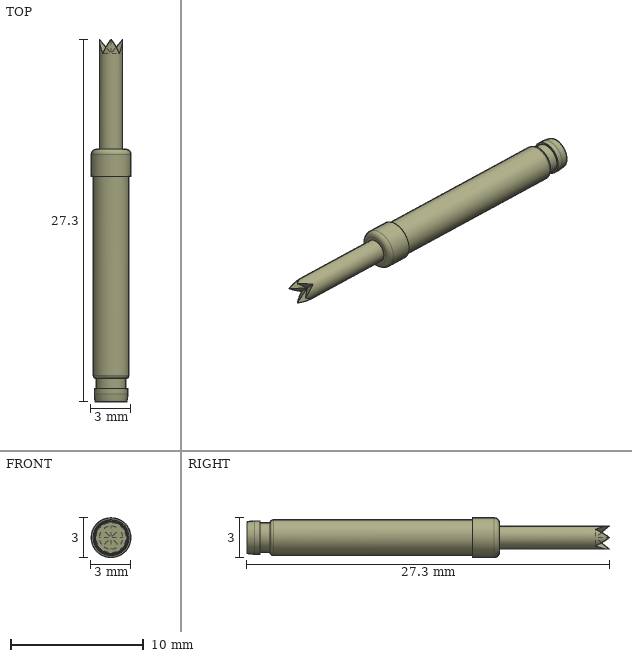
import cadquery as cq
import math

total_length = 27.3
collar_length = 2.05
plunger_length = 8.27
tail_length = 1.0
neck_length = 0.75
barrel_round_length = 0.25
tail_round_length = 0.58

plunger_diameter = 1.75
collar_diameter = 3.0
barrel_diameter = 2.7
barrel_end_diameter = 2.3
neck_diameter = 2.25
tail_diameter = 2.53
tail_end_diameter = 2.38

collar_round = 0.4
crown_groove_angle = 61.0
groove_direction = 45.0

barrel_length = total_length - plunger_length - collar_length - neck_length - tail_length


def disc(diameter, start_y, length):
    """Round bar on the Y axis running from start_y towards +Y."""
    return cq.Workplane("XZ", origin=(0, start_y, 0)).circle(diameter / 2).extrude(-length)


def rounded_bar(diameter, end_diameter, round_length, end_y, length):
    """Round bar whose -Y end is curved by an arc that leaves the straight side tangentially."""
    profile = (
        cq.Workplane("XY", origin=(0, end_y, 0))
        .lineTo(0, length)
        .lineTo(diameter / 2, length)
        .lineTo(diameter / 2, round_length)
        .tangentArcPoint((end_diameter / 2, 0), relative=False)
        .close()
    )
    return profile.revolve(360, (0, 0, 0), (0, 1, 0))


def barrel():
    """Main barrel, from the collar shoulder back to the neck."""
    return rounded_bar(
        barrel_diameter, barrel_end_diameter, barrel_round_length, -barrel_length, barrel_length
    )


def collar():
    """Collar with a rounded front edge."""
    return disc(collar_diameter, 0, collar_length).faces(">Y").edges().fillet(collar_round)


def tail():
    """Stepped tail: a narrow neck followed by a wider, rounded end."""
    neck_start_y = -barrel_length - neck_length
    neck = disc(neck_diameter, neck_start_y, neck_length)
    end_y = neck_start_y - tail_length
    end = rounded_bar(tail_diameter, tail_end_diameter, tail_round_length, end_y, tail_length)
    return neck.union(end)


def plunger():
    """Plunger whose tip is split into four points by two crossing V grooves."""
    tip_y = collar_length + plunger_length
    body = disc(plunger_diameter, collar_length, plunger_length)
    radius = plunger_diameter / 2
    point_offset = radius * math.sin(math.radians(groove_direction))
    slope = 1 / math.tan(math.radians(crown_groove_angle / 2))
    valley_y = tip_y - point_offset * slope
    top_y = valley_y + plunger_diameter * slope
    groove = (
        cq.Workplane("XY")
        .moveTo(0, valley_y)
        .lineTo(plunger_diameter, top_y)
        .lineTo(-plunger_diameter, top_y)
        .close()
        .extrude(plunger_diameter, both=True)
    )
    for angle in (groove_direction, -groove_direction):
        body = body.cut(groove.rotate((0, 0, 0), (0, 1, 0), angle))
    return body


result = barrel().union(collar()).union(tail()).union(plunger())